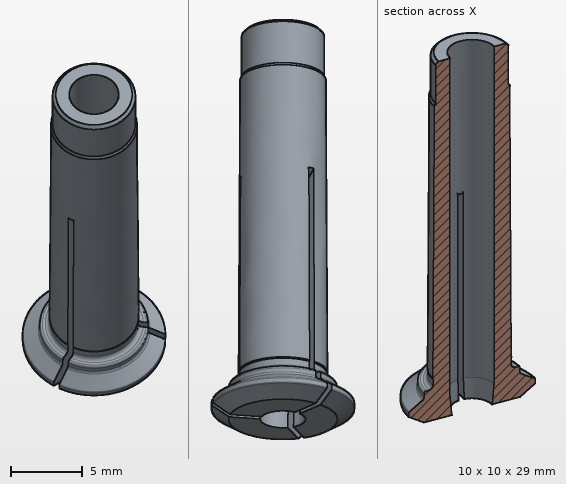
import cadquery as cq
import math

height = 29.0
rim_radius = 5.002

foot_bottom_radius = 3.8
rim_bottom_z = 0.78
rim_top_z = 1.2
rim_rounding = 0.1
collar_radius = 3.8
collar_bottom_z = 1.95
collar_top_z = 2.55
collar_rounding = 0.17
collar_root_fillet = 0.23

shank_root_radius = 3.1
shank_root_fillet = 0.32
shank_bottom_radius = 3.13
shank_top_radius = 3.02
shank_bottom_z = 3.45
shank_step_height = 0.1
shank_top_z = 25.45

neck_radius = 2.9
neck_bottom_z = 25.66
neck_chamfer = 0.23

bore_radius = 3.45 / 2
bore_exit_radius = 3.15 / 2
bore_taper_height = 1.65

slot_count = 3
slot_width = 0.44
slot_outer_z = 18.07
slot_inner_z = 16.62
first_slot_angle = 180.0


def find_circle(body, radius, z):
    """Return the circular edge closest to the given radius and height."""
    circles = body.edges("%CIRCLE").vals()
    return min(circles, key=lambda edge: math.hypot(edge.radius() - radius, edge.Center().z - z))


def make_body():
    """Revolve the outer outline around Z, then round the foot edges."""
    outline = [
        (0, 0),
        (foot_bottom_radius, 0),
        (rim_radius, rim_bottom_z),
        (rim_radius, rim_top_z),
        (collar_radius, collar_bottom_z),
        (collar_radius, collar_top_z),
        (shank_root_radius, collar_top_z),
        (shank_root_radius, shank_bottom_z - shank_step_height),
        (shank_bottom_radius, shank_bottom_z),
        (shank_top_radius, shank_top_z),
        (neck_radius, neck_bottom_z),
        (neck_radius, height),
        (0, height),
    ]
    body = cq.Workplane("XZ").polyline(outline).close().revolve(360, (0, 0, 0), (0, 1, 0))
    body = body.faces(">Z").edges().chamfer(neck_chamfer)
    roundings = [
        (rim_radius, rim_bottom_z, rim_rounding),
        (rim_radius, rim_top_z, rim_rounding),
        (collar_radius, collar_bottom_z, collar_root_fillet),
        (collar_radius, collar_top_z, collar_rounding),
        (shank_root_radius, collar_top_z, shank_root_fillet),
    ]
    for radius, z, rounding in roundings:
        body = body.newObject([find_circle(body, radius, z)]).fillet(rounding)
    return body


def make_bore():
    """Straight bore with a tapered exit at the foot."""
    outline = [
        (0, 0),
        (bore_exit_radius, 0),
        (bore_radius, bore_taper_height),
        (bore_radius, height),
        (0, height),
    ]
    return cq.Workplane("XZ").polyline(outline).close().revolve(360, (0, 0, 0), (0, 1, 0))


def make_slot(angle):
    """Slot from the axis outwards; its end slopes from the bore wall up to the shank surface."""
    slope = (slot_outer_z - slot_inner_z) / (shank_bottom_radius - bore_radius)
    axis_z = slot_inner_z - slope * bore_radius
    rim_z = slot_inner_z + slope * (rim_radius - bore_radius)
    outline = [(0, 0), (rim_radius, 0), (rim_radius, rim_z), (0, axis_z)]
    slot = cq.Workplane("XZ").polyline(outline).close().extrude(slot_width / 2, both=True)
    return slot.rotate((0, 0, 0), (0, 0, 1), angle)


result = make_body().cut(make_bore())
for index in range(slot_count):
    result = result.cut(make_slot(first_slot_angle + index * 360 / slot_count))